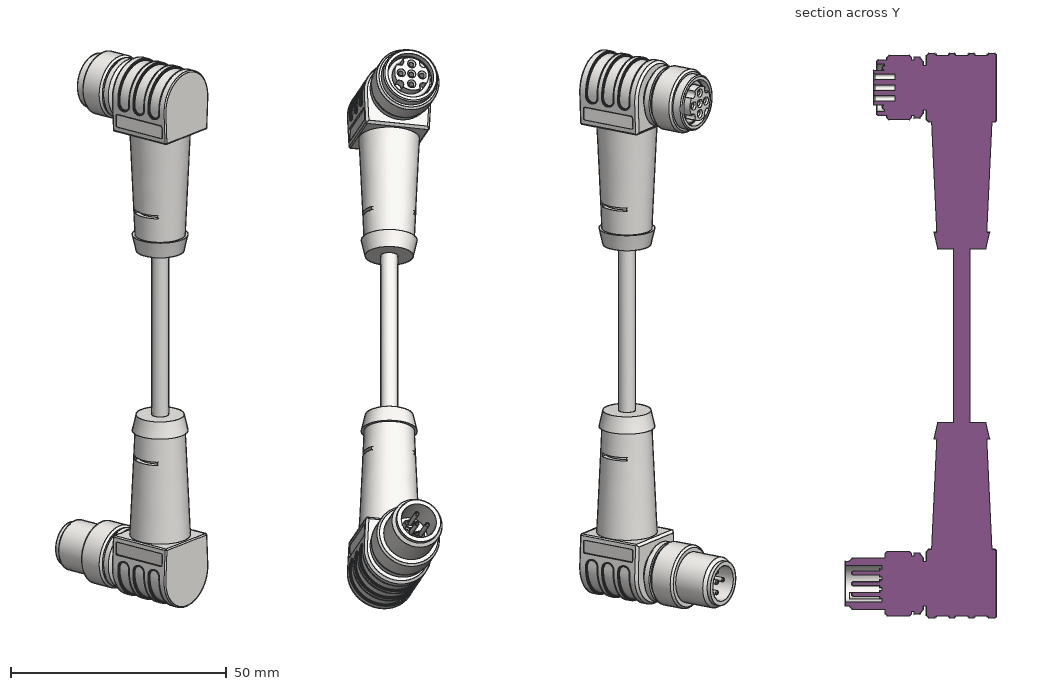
import cadquery as cq
import math


overall_height = 130.94
overall_length = 35.0
body_size = 16.0
axis_height = (overall_height - body_size) / 2
body_front = -8.25
body_back = body_size / 2
overlap = 0.5

shoulder_radius = body_size / 2
flank_draft = math.radians(3)
front_edge_chamfer = 0.6
plain_edge_chamfer = 0.3
groove_depth = 0.5
groove_width = 2.8
groove_rim_step = 0.25
groove_pitch = 4.5
groove_end_z = -2.15
label_length = 13.8
label_height = 3.1
label_center_z = -5.15
label_depth = 0.2
label_corner_radius = 0.4

cable_diameter = 4.0
relief_top_diameter = 14.1
relief_bottom_diameter = 11.7
collar_top_diameter = 13.0
collar_bottom_diameter = 11.2
collar_top_z = -33.5
relief_end_z = -37.4
notch_width = 6.8
notch_height = 0.8
notch_center_z = -27.3
notch_depth = 0.9

nut_diameter = 15.0
nut_back = -11.6
nut_chamfer = 0.5
ring_diameter = 14.25
ring_front = -11.1
ring_taper_start = -9.7
ring_back = -8.9
ring_back_diameter = 12.0
neck_diameter = 10.45
nut_gap_diameter = 13.0

outer_contact_count = 4
contact_circle_radius = 2.5
bore_diameter = 8.38
key_diameter = 1.95
key_angle = 45.0

female_nut_front = -17.4
female_sleeve_diameter = 13.0
female_sleeve_front = -19.7
female_sleeve_chamfer = 0.3
female_mouth_diameter = 10.92
female_mouth_depth = 1.8
seal_section_diameter = 1.1
seal_center_radius = 4.58
insert_diameter = 8.14
insert_front = -20.5
socket_diameter = 1.15
socket_mouth_diameter = 1.95
socket_depth = 5.0
rim_scallop_count = 4

male_nut_front = -17.8
male_sleeve_diameter = 12.0
male_tip_diameter = 10.45
male_front = body_back - overall_length
male_tip_length = 0.9
male_tip_taper = 0.7
male_bore_depth = 8.5
pin_diameter = 1.0
pin_collar_diameter = 1.95
pin_collar_length = 0.5
pin_recess = 1.5
pin_tip_chamfer = 0.25
key_recess = 1.0


def rod(x_start, x_end, diameter, y=0.0, z=0.0):
    """Cylinder along X between two stations."""
    return cq.Workplane("YZ", origin=(x_start, y, z)).circle(diameter / 2).extrude(x_end - x_start)


def contact_positions():
    """(y, z) of the centre contact and the four contacts around it."""
    positions = [(0.0, 0.0)]
    for index in range(outer_contact_count):
        angle = index * 2 * math.pi / outer_contact_count
        positions.append((contact_circle_radius * math.cos(angle), contact_circle_radius * math.sin(angle)))
    return positions


def on_both_sides(tool):
    """Tool for the -Y side together with its mirror image on the +Y side."""
    return tool.union(tool.mirror("XZ"))


def flank_half_width(radius, z):
    """Half width of the drafted flank that is tangent to a dome of the given radius."""
    return radius / math.cos(flank_draft) + z * math.tan(flank_draft)


def domed_prism(radius):
    """Prism along X: a half-round top running tangentially into inward-drafted flanks."""
    tangent_y = radius * math.cos(flank_draft)
    tangent_z = -radius * math.sin(flank_draft)
    base_y = flank_half_width(radius, -shoulder_radius)
    return (
        cq.Workplane("YZ", origin=(body_front, 0, 0))
        .moveTo(-base_y, -shoulder_radius)
        .lineTo(-tangent_y, tangent_z)
        .threePointArc((0, radius), (tangent_y, tangent_z))
        .lineTo(base_y, -shoulder_radius)
        .close()
        .extrude(body_back - body_front)
    )


def groove_arches(width, end_z, core_radius):
    """Three arches over the body down to a domed core, each ending in a half round on its flanks."""
    end_center_z = end_z + width / 2
    arches = cq.Workplane("XZ")
    for index in (-1, 0, 1):
        arch = (
            cq.Workplane("XZ")
            .center(index * groove_pitch, 0)
            .moveTo(-width / 2, body_size)
            .lineTo(-width / 2, end_center_z)
            .threePointArc((0, end_z), (width / 2, end_center_z))
            .lineTo(width / 2, body_size)
            .close()
            .extrude(body_size, both=True)
        )
        arches.add(arch)
    return arches.combine().cut(domed_prism(core_radius))


def grip_grooves():
    """Grooves with a shallow wider step around their rims."""
    grooves = groove_arches(groove_width, groove_end_z, shoulder_radius - groove_depth)
    rims = groove_arches(
        groove_width + 2 * groove_rim_step,
        groove_end_z - groove_rim_step,
        shoulder_radius - groove_rim_step,
    )
    return grooves.union(rims)


def label_panel():
    """Shallow rectangular panel in the drafted flank below the grooves."""
    panel_y = -flank_half_width(shoulder_radius, label_center_z) + label_depth
    return (
        cq.Workplane("XZ", origin=(0, panel_y, label_center_z))
        .rect(label_length, label_height)
        .extrude(label_depth + overlap)
        .edges("|Y")
        .fillet(label_corner_radius)
        .rotate((0, panel_y, label_center_z), (1, panel_y, label_center_z), -math.degrees(flank_draft))
    )


def housing_body():
    """Domed housing with bevelled ends, grip grooves and a label panel on each flank."""
    body = domed_prism(shoulder_radius)
    body = body.faces("<X").edges().chamfer(front_edge_chamfer)
    body = body.faces(">X or <Z").edges("not(<X)").chamfer(plain_edge_chamfer)
    return body.cut(grip_grooves()).cut(on_both_sides(label_panel()))


def strain_relief():
    """Tapered sleeve ending in a stepped collar, with a notch on each side."""
    relief = (
        cq.Workplane("XZ")
        .moveTo(0, -shoulder_radius + overlap)
        .lineTo(relief_top_diameter / 2, -shoulder_radius + overlap)
        .lineTo(relief_top_diameter / 2, -shoulder_radius)
        .lineTo(relief_bottom_diameter / 2, collar_top_z)
        .lineTo(collar_top_diameter / 2, collar_top_z)
        .lineTo(collar_bottom_diameter / 2, relief_end_z)
        .lineTo(0, relief_end_z)
        .close()
        .revolve(360, (0, 0, 0), (0, 1, 0))
    )
    notch_floor_radius = relief_bottom_diameter / 2 - notch_depth
    notch = (
        cq.Workplane("XZ", origin=(0, 0, notch_center_z))
        .rect(notch_width, notch_height)
        .extrude(relief_top_diameter)
        .cut(
            cq.Workplane("XY", origin=(0, 0, collar_top_z))
            .circle(notch_floor_radius)
            .extrude(-collar_top_z)
        )
    )
    return relief.cut(on_both_sides(notch))


def coupling(nut_front):
    """Neck, rear ring and coupling nut shared by both connectors."""
    neck = rod(ring_back - overlap, body_front + overlap, neck_diameter)
    gap = rod(nut_back - overlap, ring_front + overlap, nut_gap_diameter)
    ring = (
        cq.Workplane("XY")
        .moveTo(ring_front, 0)
        .lineTo(ring_front, ring_diameter / 2)
        .lineTo(ring_taper_start, ring_diameter / 2)
        .lineTo(ring_back, ring_back_diameter / 2)
        .lineTo(ring_back, 0)
        .close()
        .revolve(360, (0, 0, 0), (1, 0, 0))
    )
    nut = rod(nut_front, nut_back, nut_diameter).faces("<X or >X").edges().chamfer(nut_chamfer)
    return neck.union(gap).union(ring).union(nut)


def connector_base(nut_front):
    """Housing, strain relief and coupling common to both ends."""
    return housing_body().union(strain_relief()).union(coupling(nut_front))


def round_key(x_start, x_end, radius, angle):
    """Round bar along X, centred at a radius and an angle in degrees from +Y towards +Z."""
    y = radius * math.cos(math.radians(angle))
    z = radius * math.sin(math.radians(angle))
    return rod(x_start, x_end, key_diameter, y, z)


def socket_insert(back):
    """Disc of contact sockets with countersunk mouths and round scallops in its rim."""
    insert = rod(insert_front, back, insert_diameter)
    for y, z in contact_positions():
        socket = rod(insert_front, insert_front + socket_depth, socket_diameter, y, z)
        insert = insert.cut(socket)
    mouth_chamfer = (socket_mouth_diameter - socket_diameter) / 2
    insert = insert.faces("<X").edges(cq.selectors.RadiusNthSelector(0)).chamfer(mouth_chamfer)
    scallop_end = female_sleeve_front + female_mouth_depth
    for index in range(rim_scallop_count):
        angle = key_angle + index * 360 / rim_scallop_count
        insert = insert.cut(round_key(insert_front, scallop_end, insert_diameter / 2, angle))
    return insert


def sealing_ring(center_x):
    """Round-section ring around the insert."""
    return (
        cq.Workplane("XY")
        .center(center_x, seal_center_radius)
        .circle(seal_section_diameter / 2)
        .revolve(360, (0, -seal_center_radius, 0), (1, -seal_center_radius, 0))
    )


def female_connector():
    """Socket insert standing proud of its sleeve, with a sealing ring at the bottom of the gap."""
    sleeve = rod(female_sleeve_front, female_nut_front + overlap, female_sleeve_diameter)
    sleeve = sleeve.faces("<X").edges().chamfer(female_sleeve_chamfer)
    mouth_end = female_sleeve_front + female_mouth_depth
    connector = connector_base(female_nut_front).union(sleeve)
    connector = connector.cut(rod(female_sleeve_front, insert_front + socket_depth, insert_diameter))
    connector = connector.cut(rod(female_sleeve_front, mouth_end, female_mouth_diameter))
    insert = socket_insert(insert_front + socket_depth + overlap)
    return connector.union(insert).union(sealing_ring(mouth_end))


def male_connector():
    """Hollow sleeve with a stepped tip around five pins."""
    sleeve_radius = male_sleeve_diameter / 2
    tip_radius = male_tip_diameter / 2
    tip_end = male_front + male_tip_length
    sleeve = (
        cq.Workplane("XY")
        .moveTo(male_front, 0)
        .lineTo(male_front, tip_radius)
        .lineTo(tip_end, tip_radius)
        .lineTo(tip_end + male_tip_taper, sleeve_radius)
        .lineTo(male_nut_front + overlap, sleeve_radius)
        .lineTo(male_nut_front + overlap, 0)
        .close()
        .revolve(360, (0, 0, 0), (1, 0, 0))
    )
    bore_end = male_front + male_bore_depth
    connector = connector_base(male_nut_front).union(sleeve).cut(rod(male_front, bore_end, bore_diameter))

    for y, z in contact_positions():
        pin = rod(male_front + pin_recess, bore_end + overlap, pin_diameter, y, z)
        pin = pin.faces("<X").edges().chamfer(pin_tip_chamfer)
        collar = rod(bore_end - pin_collar_length, bore_end + overlap, pin_collar_diameter, y, z)
        connector = connector.union(pin).union(collar)

    key = round_key(male_front + key_recess, bore_end + overlap, bore_diameter / 2, key_angle)
    return connector.union(key)


cable_half_length = axis_height + relief_end_z + overlap
cable = cq.Workplane("XY").circle(cable_diameter / 2).extrude(cable_half_length, both=True)

upper_end = female_connector().translate((0, 0, axis_height))
lower_end = male_connector().mirror("XY").translate((0, 0, -axis_height))

result = upper_end.union(lower_end).union(cable)